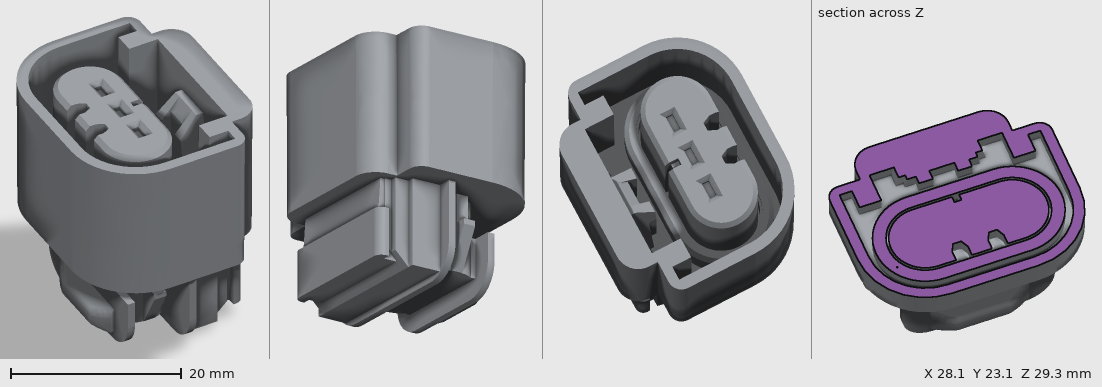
import cadquery as cq
import math


TOP_Z = 29.3
SKIRT_BOTTOM_Z = 11.63
FLOOR_Z = 13.18
SKIRT_WIDTH = 28.15
SKIRT_LENGTH = 23.12
SKIRT_HALF_WIDTH = SKIRT_WIDTH / 2
FRONT_ARC_X = 5.48
SHOULDER_Y = 10.6
SHOULDER_RADIUS = 1.7
HOOD_HALF_WIDTH = 9.67
HOOD_RADIUS = 2.78
SKIRT_DRAFT = 0.3
SKIRT_FRONT_RADIUS = SKIRT_HALF_WIDTH - FRONT_ARC_X
HOOD_BACK_Y = SKIRT_LENGTH - SKIRT_FRONT_RADIUS

WALL = 1.38
CAVITY_RADIUS = SKIRT_FRONT_RADIUS - WALL
CAVITY_BACK_Y = 9.38
GUIDE_OUTER_X = 11.0
GUIDE_INNER_X = 8.4
GUIDE_FRONT_Y = 6.9
CAVITY_HOOD_Y = 10.72
CAVITY_DRAFT = 0.4

TOWER_TOP_Z = 28.35
TOWER_RADIUS = 4.3
TOWER_CHAMFER = 0.55
SLEEVE_TOP_Z = 17.58
SLEEVE_RADIUS = 6.2
SLEEVE_CHAMFER = 0.55
SLEEVE_BORE_RADIUS = 4.57
SLEEVE_STEP_RADIUS = 4.83
SLEEVE_STEP_DEPTH = 0.6

CONTACT_PITCH = 4.5
CONTACT_COUNT = 3
CONTACT_Y = 1.05
CONTACT_MOUTH = (3.1, 2.0)
CONTACT_BORE = (2.05, 0.88)
CONTACT_MOUTH_DEPTH = 0.6
CONTACT_BORE_BOTTOM_Z = 27.2

KEY_HALF_WIDTH = 0.97
KEY_TIP_HALF_WIDTH = 0.5
KEY_NECK_Y = -3.0
KEY_TIP_Y = -2.02
SLOT_WIDTH = 0.85
SLOT_INNER_Y = 2.58
SLOT_STEP_Y = 3.52
SLOT_DEPTH = 1.46

HOOK_TOP_Z = 25.78
HOOK_TOP_HALF_WIDTH = 2.52
HOOK_FACE_Y = 9.82
HOOK_CENTRE_Y = 8.67
HOOK_CENTRE_HALF_WIDTH = 1.55
HOOK_RIB_Y = 7.45
HOOK_CENTRE_RAMP_HEIGHT = 1.8
HOOK_RIB_RAMP_HEIGHT = 2.65
WING_FOOT_HALF_WIDTH = 5.65
WING_TOP_Y = 10.08
WING_FOOT_Y = 9.0
WING_RAMP_HEIGHT = 12.3
WEB_FOOT_HALF_WIDTH = 4.72
WEB_FOOT_Y = 8.47
RIB_LIMIT_HALF_WIDTH = 3.37

PLATE_RADIUS = 3.9
PLATE_THICKNESS = 0.95
BACK_PLATE_Y = 3.75
BACK_PLATE_HALF_WIDTH = 11.8
FRONT_PLATE_Y = -3.25
FRONT_PLATE_HALF_WIDTH = 9.55
FRONT_PLATE_SHOULDER_Z = 7.35
FRONT_NECK_HALF_WIDTH = 4.45

CORE_BOTTOM_Z = 2.35
CORE_FRONT_Y = FRONT_PLATE_Y + PLATE_THICKNESS
CORE_BACK_Y = 3.1
CORE_HALF_WIDTH = 7.47
CORE_BACKING_HALF_WIDTH = 5.8
PLATE_PAD_Y = -1.73
PLATE_PAD_HALF_WIDTH = 6.91
WEDGE_FRONT_Y = -0.05
WEDGE_BACK_Y = 1.5
WEDGE_STEM_HALF_WIDTH = 8.7
WEDGE_HALF_WIDTH = 10.25
WEDGE_TOP_Z = 8.03
WEDGE_EDGE_Z = 7.35
WEDGE_FOOT_HALF_WIDTH = 7.55

BLOCK_FRONT_Y = BACK_PLATE_Y + PLATE_THICKNESS
BLOCK_BOTTOM_Z = 0.73
BLOCK_TIERS = ((9.9, 8.53), (9.02, 10.35), (8.12, 11.22))
BLOCK_CHAMFER_TOP_Z = 3.37
LEVER_BOTTOM_Z = 1.58
LEVER_HALF_WIDTH = 7.9
LEVER_TOP_BACK_Y = 11.72
LEVER_LOW_BACK_Y = 12.0
LEVER_PAD_TOP_Z = 7.62
LEVER_PAD_HALF_WIDTH = 8.95
LEVER_PAD_BACK_Y = 12.63
LEVER_PAD_RADIUS = 1.05

CATCH_HALF_WIDTH = 6.18
CATCH_CREST_HALF_WIDTH = 3.28
CATCH_DEPTH = 1.7
CATCH_SIDE_DEPTH = 0.38
CATCH_TOP_Z = 4.42
CATCH_CREST_Z = 2.8
CATCH_BOTTOM_Z = 0.7
CATCH_BOTTOM_RADIUS = 0.6
CATCH_RIM_RADIUS = 1.17
CATCH_SIDE_BULGE = 0.15


def centred_box(half_width, y_min, y_max, z_min, z_max):
    """Block centred on the symmetry plane, given by its limits along Y and Z."""
    size = (2 * half_width, y_max - y_min, z_max - z_min)
    block = cq.Workplane("XY").box(*size, centered=(True, False, False))
    return block.translate((0, y_min, z_min))


def oval(radius, centre_x, z_min, z_max):
    """Upright stadium with its end arcs centred at +-centre_x."""
    outline = cq.Workplane("XY").workplane(offset=z_min).slot2D(2 * (centre_x + radius), 2 * radius)
    return outline.extrude(z_max - z_min)


def prism_along_x(points_yz, half_width):
    return cq.Workplane("YZ").polyline(points_yz).close().extrude(half_width, both=True)


def prism_along_y(points_xz, y_min, y_max):
    outline = cq.Workplane("XZ", origin=(0, y_max, 0)).polyline(points_xz).close()
    return outline.extrude(y_max - y_min)


def front_outline(radius):
    """Right half of a rounded front, drawn at the top from the symmetry plane to the side face."""
    diagonal = radius * math.sqrt(0.5)
    return (
        cq.Workplane("XY").workplane(offset=TOP_Z)
        .moveTo(0, -radius)
        .lineTo(FRONT_ARC_X, -radius)
        .threePointArc((FRONT_ARC_X + diagonal, -diagonal), (FRONT_ARC_X + radius, 0))
    )


def corner_arc(corner_x, corner_y, radius):
    """Middle and end points of a convex back-right corner arc that starts on the side face."""
    inset = radius * (1 - math.sqrt(0.5))
    return (corner_x - inset, corner_y - inset), (corner_x - radius, corner_y)


def make_skirt():
    shoulder_mid, shoulder_end = corner_arc(SKIRT_HALF_WIDTH, SHOULDER_Y, SHOULDER_RADIUS)
    hood_mid, hood_end = corner_arc(HOOD_HALF_WIDTH, HOOD_BACK_Y, HOOD_RADIUS)
    half = (
        front_outline(SKIRT_FRONT_RADIUS)
        .lineTo(SKIRT_HALF_WIDTH, SHOULDER_Y - SHOULDER_RADIUS)
        .threePointArc(shoulder_mid, shoulder_end)
        .lineTo(HOOD_HALF_WIDTH, SHOULDER_Y)
        .lineTo(HOOD_HALF_WIDTH, HOOD_BACK_Y - HOOD_RADIUS)
        .threePointArc(hood_mid, hood_end)
        .lineTo(0, HOOD_BACK_Y)
    )
    return half.mirrorY().extrude(SKIRT_BOTTOM_Z - TOP_Z, taper=SKIRT_DRAFT)


def make_cavity():
    half = (
        front_outline(CAVITY_RADIUS)
        .lineTo(FRONT_ARC_X + CAVITY_RADIUS, CAVITY_BACK_Y)
        .lineTo(GUIDE_OUTER_X, CAVITY_BACK_Y)
        .lineTo(GUIDE_OUTER_X, GUIDE_FRONT_Y)
        .lineTo(GUIDE_INNER_X, GUIDE_FRONT_Y)
        .lineTo(GUIDE_INNER_X, CAVITY_HOOD_Y)
        .lineTo(0, CAVITY_HOOD_Y)
    )
    return half.mirrorY().extrude(FLOOR_Z - TOP_Z, taper=CAVITY_DRAFT)


def make_sleeve():
    sleeve = oval(SLEEVE_RADIUS, FRONT_ARC_X, FLOOR_Z, SLEEVE_TOP_Z)
    sleeve = sleeve.faces(">Z").chamfer(SLEEVE_CHAMFER)
    bore = oval(SLEEVE_BORE_RADIUS, FRONT_ARC_X, FLOOR_Z, SLEEVE_TOP_Z)
    step = oval(SLEEVE_STEP_RADIUS, FRONT_ARC_X, SLEEVE_TOP_Z - SLEEVE_STEP_DEPTH, SLEEVE_TOP_Z)
    return sleeve.cut(bore).cut(step)


def make_contact_opening(x):
    mouth_bottom_z = TOWER_TOP_Z - CONTACT_MOUTH_DEPTH
    mouth = (
        cq.Workplane("XY", origin=(x, CONTACT_Y, mouth_bottom_z))
        .rect(*CONTACT_BORE)
        .workplane(offset=CONTACT_MOUTH_DEPTH)
        .rect(*CONTACT_MOUTH)
        .loft()
    )
    bore = cq.Workplane("XY", origin=(x, CONTACT_Y, CONTACT_BORE_BOTTOM_Z)).rect(*CONTACT_BORE)
    return mouth.union(bore.extrude(mouth_bottom_z - CONTACT_BORE_BOTTOM_Z))


def make_front_keyway(x):
    points = [
        (x - KEY_HALF_WIDTH, -TOWER_RADIUS),
        (x + KEY_HALF_WIDTH, -TOWER_RADIUS),
        (x + KEY_HALF_WIDTH, KEY_NECK_Y),
        (x + KEY_TIP_HALF_WIDTH, KEY_TIP_Y),
        (x - KEY_TIP_HALF_WIDTH, KEY_TIP_Y),
        (x - KEY_HALF_WIDTH, KEY_NECK_Y),
    ]
    outline = cq.Workplane("XY").workplane(offset=FLOOR_Z).polyline(points).close()
    return outline.extrude(TOWER_TOP_Z - FLOOR_Z)


def make_tower():
    tower = oval(TOWER_RADIUS, FRONT_ARC_X, FLOOR_Z, TOWER_TOP_Z)
    tower = tower.faces(">Z").chamfer(TOWER_CHAMFER)
    for index in range(CONTACT_COUNT):
        x = (index - (CONTACT_COUNT - 1) / 2) * CONTACT_PITCH
        tower = tower.cut(make_contact_opening(x))
    for side in (-1, 1):
        tower = tower.cut(make_front_keyway(side * CONTACT_PITCH / 2))
    half_slot = SLOT_WIDTH / 2
    slot_floor_z = TOWER_TOP_Z - SLOT_DEPTH
    tower = tower.cut(centred_box(half_slot, SLOT_INNER_Y, TOWER_RADIUS, slot_floor_z, TOWER_TOP_Z))
    return tower.cut(centred_box(half_slot, SLOT_STEP_Y, TOWER_RADIUS, FLOOR_Z, TOWER_TOP_Z))


def hook_layer(foot_half_width, top_y, foot_y, ramp_height):
    """Layer flaring sideways to the floor, its front ramping from top_y to foot_y."""
    flare = [
        (-HOOK_TOP_HALF_WIDTH, HOOK_TOP_Z),
        (HOOK_TOP_HALF_WIDTH, HOOK_TOP_Z),
        (foot_half_width, FLOOR_Z),
        (-foot_half_width, FLOOR_Z),
    ]
    ramp = [
        (CAVITY_HOOD_Y, HOOK_TOP_Z),
        (top_y, HOOK_TOP_Z),
        (foot_y, HOOK_TOP_Z - ramp_height),
        (foot_y, FLOOR_Z),
        (CAVITY_HOOD_Y, FLOOR_Z),
    ]
    return prism_along_y(flare, foot_y, CAVITY_HOOD_Y).intersect(prism_along_x(ramp, foot_half_width))


def make_hook():
    web_ramp = HOOK_RIB_RAMP_HEIGHT * (HOOK_FACE_Y - WEB_FOOT_Y) / (HOOK_FACE_Y - HOOK_RIB_Y)
    wing = hook_layer(WING_FOOT_HALF_WIDTH, WING_TOP_Y, WING_FOOT_Y, WING_RAMP_HEIGHT)
    web = hook_layer(WEB_FOOT_HALF_WIDTH, HOOK_FACE_Y, WEB_FOOT_Y, web_ramp)
    ribs = hook_layer(WEB_FOOT_HALF_WIDTH, HOOK_FACE_Y, HOOK_RIB_Y, HOOK_RIB_RAMP_HEIGHT)
    ribs = ribs.intersect(
        centred_box(RIB_LIMIT_HALF_WIDTH, HOOK_RIB_Y, CAVITY_HOOD_Y, FLOOR_Z, HOOK_TOP_Z)
    )
    recess = [
        (HOOK_FACE_Y, HOOK_TOP_Z),
        (HOOK_CENTRE_Y, HOOK_TOP_Z - HOOK_CENTRE_RAMP_HEIGHT),
        (HOOK_CENTRE_Y, FLOOR_Z),
        (HOOK_RIB_Y, FLOOR_Z),
        (HOOK_RIB_Y, HOOK_TOP_Z),
    ]
    return wing.union(web).union(ribs).cut(prism_along_x(recess, HOOK_CENTRE_HALF_WIDTH))


def make_plate(half_width, front_y, top_z):
    """Upright plate with rounded lower corners."""
    plate = centred_box(half_width, front_y, front_y + PLATE_THICKNESS, 0, top_z)
    return plate.edges("|Y and <Z").fillet(PLATE_RADIUS)


def make_plates():
    back = make_plate(BACK_PLATE_HALF_WIDTH, BACK_PLATE_Y, SKIRT_BOTTOM_Z)
    front = make_plate(FRONT_PLATE_HALF_WIDTH, FRONT_PLATE_Y, FRONT_PLATE_SHOULDER_Z)
    neck = centred_box(
        FRONT_NECK_HALF_WIDTH, FRONT_PLATE_Y, CORE_FRONT_Y, FRONT_PLATE_SHOULDER_Z, SKIRT_BOTTOM_Z
    )
    return back.union(front).union(neck)


def make_core():
    core = centred_box(CORE_HALF_WIDTH, CORE_FRONT_Y, CORE_BACK_Y, CORE_BOTTOM_Z, SKIRT_BOTTOM_Z)
    core = core.edges("|Z and <Y").fillet(WEDGE_FRONT_Y - CORE_FRONT_Y)
    core = core.edges("|Z and >Y").fillet(CORE_BACK_Y - WEDGE_BACK_Y)
    backing = centred_box(
        CORE_BACKING_HALF_WIDTH, WEDGE_BACK_Y, BACK_PLATE_Y, CORE_BOTTOM_Z, SKIRT_BOTTOM_Z
    )
    plate_pad = centred_box(
        PLATE_PAD_HALF_WIDTH, FRONT_PLATE_Y, PLATE_PAD_Y, CORE_BOTTOM_Z, FRONT_PLATE_SHOULDER_Z
    )
    right_side = [
        (WEDGE_FOOT_HALF_WIDTH, CORE_BOTTOM_Z),
        (WEDGE_HALF_WIDTH, WEDGE_EDGE_Z),
        (WEDGE_HALF_WIDTH, WEDGE_TOP_Z),
        (WEDGE_STEM_HALF_WIDTH, WEDGE_TOP_Z),
        (WEDGE_STEM_HALF_WIDTH, SKIRT_BOTTOM_Z),
    ]
    left_side = [(-x, z) for x, z in reversed(right_side)]
    wedges = prism_along_y(right_side + left_side, WEDGE_FRONT_Y, WEDGE_BACK_Y)
    return core.union(backing).union(plate_pad).union(wedges)


def make_rear_block():
    """Block narrowing in tiers toward the back, its lower back edge cut off at an angle."""
    chamfer_start_y = BLOCK_TIERS[0][1]
    block_back_y = BLOCK_TIERS[-1][1]
    profile = [
        (BLOCK_FRONT_Y, BLOCK_BOTTOM_Z),
        (chamfer_start_y, BLOCK_BOTTOM_Z),
        (block_back_y, BLOCK_CHAMFER_TOP_Z),
        (block_back_y, SKIRT_BOTTOM_Z),
        (BLOCK_FRONT_Y, SKIRT_BOTTOM_Z),
    ]
    block = cq.Workplane("XY")
    for half_width, back_y in BLOCK_TIERS:
        block = block.union(centred_box(half_width, BLOCK_FRONT_Y, back_y, BLOCK_BOTTOM_Z, SKIRT_BOTTOM_Z))
    return block.intersect(prism_along_x(profile, BLOCK_TIERS[0][0]))


def make_lever():
    pad_front_y = BLOCK_TIERS[-1][1]
    profile = [
        (BLOCK_FRONT_Y, LEVER_BOTTOM_Z),
        (LEVER_LOW_BACK_Y, LEVER_BOTTOM_Z),
        (LEVER_LOW_BACK_Y, LEVER_PAD_TOP_Z),
        (LEVER_TOP_BACK_Y, SKIRT_BOTTOM_Z),
        (BLOCK_FRONT_Y, SKIRT_BOTTOM_Z),
    ]
    pad = centred_box(LEVER_PAD_HALF_WIDTH, pad_front_y, LEVER_PAD_BACK_Y, LEVER_BOTTOM_Z, LEVER_PAD_TOP_Z)
    pad = pad.edges("|Z and >Y").fillet(LEVER_PAD_RADIUS)
    return prism_along_x(profile, LEVER_HALF_WIDTH).union(pad)


def make_catch():
    """Ramped catch whose sides curve in toward the crest."""
    crest_y = FRONT_PLATE_Y - CATCH_DEPTH
    side_y = FRONT_PLATE_Y - CATCH_SIDE_DEPTH
    profile = [
        (FRONT_PLATE_Y, CATCH_BOTTOM_Z),
        (crest_y, CATCH_BOTTOM_Z),
        (crest_y, CATCH_CREST_Z),
        (FRONT_PLATE_Y, CATCH_TOP_Z),
    ]
    ramp = prism_along_x(profile, CATCH_HALF_WIDTH)
    bulge_x = (CATCH_HALF_WIDTH + CATCH_CREST_HALF_WIDTH) / 2
    bulge_y = (side_y + crest_y) / 2 - CATCH_SIDE_BULGE
    plan = (
        cq.Workplane("XY")
        .moveTo(-CATCH_HALF_WIDTH, FRONT_PLATE_Y)
        .lineTo(-CATCH_HALF_WIDTH, side_y)
        .threePointArc((-bulge_x, bulge_y), (-CATCH_CREST_HALF_WIDTH, crest_y))
        .lineTo(CATCH_CREST_HALF_WIDTH, crest_y)
        .threePointArc((bulge_x, bulge_y), (CATCH_HALF_WIDTH, side_y))
        .lineTo(CATCH_HALF_WIDTH, FRONT_PLATE_Y)
        .close()
        .extrude(CATCH_TOP_Z)
    )
    catch = ramp.intersect(plan)
    rim = catch.faces("<Y").edges("not <Z").add(catch.edges("%ELLIPSE"))
    catch = rim.fillet(CATCH_RIM_RADIUS)
    return catch.faces("<Z").edges("not >Y").fillet(CATCH_BOTTOM_RADIUS)


result = make_skirt().cut(make_cavity())
result = result.union(make_sleeve()).union(make_tower()).union(make_hook())
result = result.union(make_plates()).union(make_core())
result = result.union(make_rear_block()).union(make_lever()).union(make_catch())